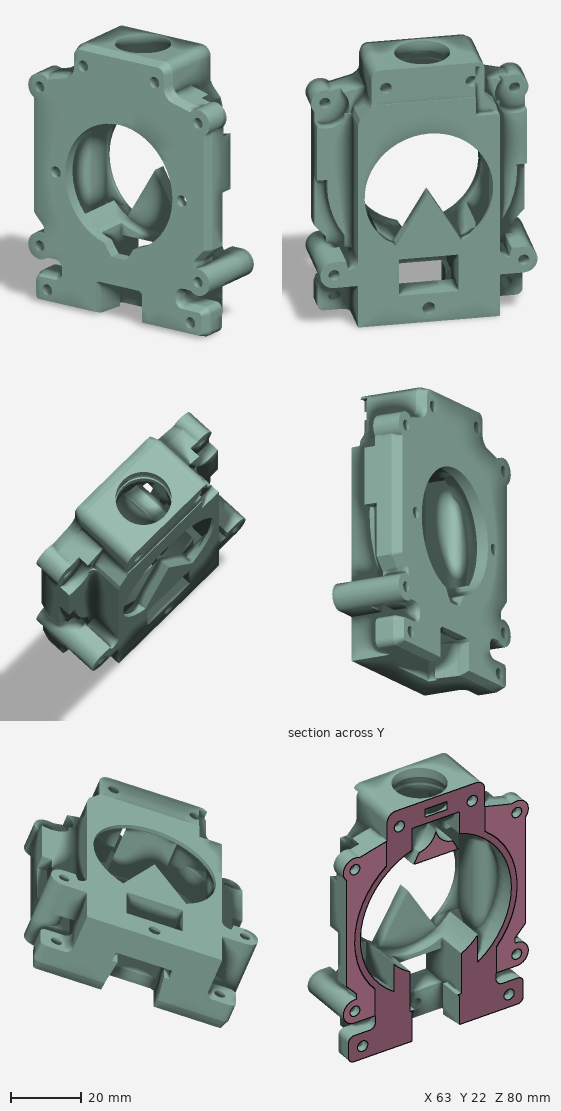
import cadquery as cq
import math

HEIGHT = 80.0
DEPTH = 22.0
PLATE_T = 3.6
SPLIT_Y = 12.0

NECK_HALF = 16.6
NECK_R = 3.0
SHOULDER_Z = 70.9
SHOULDER_END_Z = 68.2
SIDE_HALF = 30.5
SIDE_CORNER_R = 1.6
SIDE_LOW_Z = 26.4
WAIST_HALF = 27.0
WAIST_Z = 22.7
WAIST_R = 0.8
FOOT_HALF = 29.8
FOOT_H = 9.0
FOOT_R = 2.0
BASE_JOINT_Y = 10.7
FOOT_BACK_Y = 8.7
NOTCH_HALF = 20.7
NOTCH_TOP_Z = 13.0
NOTCH_R = 1.6
BEVEL_SETBACK = 1.0
BEVEL_DEPTH = 3.0

BOSS_X = 27.5
BOSS_R = 4.0
BOSS_HOLE_D = 3.2
UPPER_BOSS_Z = 65.0
LOWER_BOSS_Z = 17.0
UPPER_BOSS_L = 8.5
WEB_R = 2.8
WEB_TOP_X = 24.0
BOSS_POCKET_R = 6.4
PAD_STEP_Y = 7.9
PAD_STEP_Z = 42.4

HOLE_D = 3.4
NECK_HOLE_X = 12.4
NECK_HOLE_Z = 74.2
FOOT_HOLE_X = 24.9
FOOT_HOLE_Z = 4.3
SIDE_HOLE_X = 21.9

FAN_Z = 40.4
FAN_R = 18.6
FRONT_CAVITY_R = 25.6
DRAIN_BOTTOM_HALF = 2.5
DRAIN_BOTTOM_Z = 18.7
DRAIN_MIDDLE_HALF = 3.7
DRAIN_TOP_HALF = 5.2
DRAIN_TOP_Z = 22.8
RING_R = 27.5

SHELL_HALF = 20.6
SHELL_TOP_Z = 63.0
SHELL_SLOPE_HALF = 20.0
SHELL_SLOPE_Z = 65.1
SHELL_NECK_Z = 68.8
SHELL_WALL = 1.5
BACK_T = 1.2
FLANGE_T = 1.4
FLARE_R = 1.9
FLOOR_Y = 18.0
SECTOR_HALF_ANGLE = 31.0
FLOOR_HALF = 14.2
SIDE_FLOOR_Z = 17.6
DEEP_FLOOR_Z = 26.2
DEEP_FLOOR_DROP = 4.0
CHAMBER_TOP_Z = 62.4
NECK_BACK_STEP = 0.2
NECK_STEP_Z = 69.3
RECESS_X = 13.6
RECESS_Y = 19.4
RECESS_BOTTOM_Z = 63.4
RECESS_TOP_Z = 78.7

OUTLET_HALF = 8.6
OUTLET_BACK_Y = 13.7
WINDOW_BOTTOM_Z = 8.9
WINDOW_TOP_Z = 20.3
TAB_HOLE_D = 3.7
SLOT_HALF = 8.0
SLOT_BACK_HALF = 6.9
SLOT_TOP_Z = 10.4
SLOT_CHAMFER = 0.8

INLET_R = 8.0
INLET_GROOVE_R = 9.1
INLET_RIM_H = 3.0
INLET_GROOVE_BOTTOM = 5.6
INLET_BOTTOM_Z = 60.0
PASSAGE_TOP_Z = 72.0

SPLITTER_TOP_Z = 68.8
SPLITTER_LEDGE_Z = 63.2
SPLITTER_BOTTOM_Z = 59.6
SPLITTER_FLANK = 5.4
SPLITTER_LEDGE = 5.7
SPLITTER_HALF = 7.7
SPLITTER_BACK_Y = 20.0


def front_plane(y):
    """Sketch plane parallel to XZ at depth y."""
    return cq.Workplane("XZ", origin=(0, y, 0))


def box(x0, x1, y0, y1, z0, z1):
    return cq.Workplane("XY").box(x1 - x0, y1 - y0, z1 - z0, centered=False).translate((x0, y0, z0))


def disc(x, z, radius, y0, y1):
    return front_plane(y0).center(x, z).circle(radius).extrude(y0 - y1)


def prism(points, y0, y1):
    return front_plane(y0).polyline(points).close().extrude(y0 - y1)


def mirrored(right_half):
    """Close a right-half outline (listed bottom to top) with its mirror image."""
    return right_half + [(-corner[0], *corner[1:]) for corner in reversed(right_half)]


def rounded_prism(corners, y0, y1):
    """Extrude an outline of (x, z, radius) corners along Y."""
    pieces = []
    for i, (x, z, radius) in enumerate(corners):
        before = corners[i - 1]
        after = corners[(i + 1) % len(corners)]
        here = cq.Vector(x, z)
        to_before = (cq.Vector(before[0], before[1]) - here).normalized()
        to_after = (cq.Vector(after[0], after[1]) - here).normalized()
        half_angle = to_before.getAngle(to_after) / 2
        reach = radius / math.tan(half_angle)
        bisector = (to_before + to_after).normalized()
        middle = here + bisector * (radius / math.sin(half_angle) - radius)
        pieces.append((here + to_before * reach, middle, here + to_after * reach, radius))
    sketch = front_plane(y0).moveTo(pieces[0][2].x, pieces[0][2].y)
    for start, middle, end, radius in pieces[1:] + pieces[:1]:
        sketch = sketch.lineTo(start.x, start.y)
        if radius > 0:
            sketch = sketch.threePointArc((middle.x, middle.y), (end.x, end.y))
    return sketch.close().extrude(y0 - y1)


def concave_flare(x_wall, y_face, radius, z0, z1):
    """Concave quarter fillet on both sides, between walls at x = +-x_wall and a face at y_face."""
    mid = radius * (1 - math.sqrt(0.5))
    flare = (
        cq.Workplane("XY", origin=(0, 0, z0))
        .moveTo(x_wall, y_face)
        .lineTo(x_wall + radius, y_face)
        .threePointArc((x_wall + mid, y_face + mid), (x_wall, y_face + radius))
        .close()
        .extrude(z1 - z0)
    )
    return flare.union(flare.mirror("YZ"))


def inlet_bore():
    """Round inlet with a retaining groove under its rim."""
    axis = cq.Workplane("XY", origin=(0, SPLIT_Y, INLET_BOTTOM_Z))
    bore = axis.circle(INLET_R).extrude(HEIGHT - INLET_BOTTOM_Z)
    groove = (
        cq.Workplane("XY", origin=(0, SPLIT_Y, HEIGHT - INLET_GROOVE_BOTTOM))
        .circle(INLET_GROOVE_R)
        .extrude(INLET_GROOVE_BOTTOM - INLET_RIM_H)
    )
    return bore.union(groove)


def screw_holes():
    """Through holes of the neck, the feet and the bosses."""
    holes = cq.Workplane("XY")
    spots = [
        (NECK_HOLE_X, NECK_HOLE_Z, HOLE_D),
        (FOOT_HOLE_X, FOOT_HOLE_Z, HOLE_D),
        (BOSS_X, UPPER_BOSS_Z, BOSS_HOLE_D),
        (BOSS_X, LOWER_BOSS_Z, BOSS_HOLE_D),
    ]
    for x, z, diameter in spots:
        for side in (-1, 1):
            holes = holes.add(disc(side * x, z, diameter / 2, 0, DEPTH))
    return holes.combine()


def outlet_slot():
    """Slot in the bottom edge: straight through the plate, then narrowing to the rear."""
    right = [(SLOT_HALF, 0), (SLOT_HALF, PLATE_T), (SLOT_BACK_HALF, SPLIT_Y)]
    slot = cq.Workplane("XY").polyline(mirrored(right)).close().extrude(SLOT_TOP_Z)
    clipped = [
        (SLOT_HALF, 0),
        (SLOT_HALF, SLOT_TOP_Z - SLOT_CHAMFER),
        (SLOT_HALF - SLOT_CHAMFER, SLOT_TOP_Z),
    ]
    return slot.intersect(prism(mirrored(clipped), 0, SPLIT_Y))


def base_step():
    """Part of the back shell that reaches forward under the lower bosses."""
    return box(-SHELL_HALF, SHELL_HALF, BASE_JOINT_Y, SPLIT_Y, 0, NOTCH_TOP_Z)


def neck_passage():
    """Rectangular passage from the inlet down into the rotor chamber."""
    return box(-INLET_R, INLET_R, PLATE_T, SPLITTER_BACK_Y, SPLITTER_BOTTOM_Z, PASSAGE_TOP_Z)


def floor_block(y0, y1):
    """Block on both sides of the outlet with a round top concentric with the rotor."""
    block = box(-FLOOR_HALF, FLOOR_HALF, y0, y1, 0, FAN_Z)
    return block.cut(disc(0, FAN_Z, FAN_R, y0, y1))


def front_cavity():
    """Round cavity between the plate and the joint, interrupted by the floor block."""
    cavity = disc(0, FAN_Z, FRONT_CAVITY_R, PLATE_T, SPLIT_Y)
    return cavity.cut(floor_block(PLATE_T, SPLIT_Y))


def duct_envelope():
    """Solid neck, ring and foot block between the plate and the joint."""
    neck = rounded_prism(
        mirrored([(NECK_HALF, FAN_Z, 0), (NECK_HALF, HEIGHT, NECK_R)]), PLATE_T, SPLIT_Y
    )
    ring = disc(0, FAN_Z, RING_R, PLATE_T, SPLIT_Y)
    base = box(-SHELL_HALF, SHELL_HALF, PLATE_T, SPLIT_Y, 0, FAN_Z)
    feet = rounded_prism(
        mirrored(
            [
                (FOOT_HALF, 0, FOOT_R),
                (FOOT_HALF, FOOT_H, FOOT_R),
                (SHELL_HALF, FOOT_H, FOOT_R),
                (SHELL_HALF, NOTCH_TOP_Z, 0),
            ]
        ),
        PLATE_T,
        FOOT_BACK_Y,
    )
    flare = concave_flare(SHELL_HALF, FOOT_BACK_Y, FOOT_R, 0, FOOT_H)
    return neck.union(ring).union(base).union(feet).union(flare).cut(base_step())


def make_duct(envelope):
    outlet = box(-OUTLET_HALF, OUTLET_HALF, PLATE_T, SPLIT_Y, SLOT_TOP_Z, FAN_Z)
    duct = envelope.cut(front_cavity()).cut(outlet).cut(outlet_slot())
    return duct.cut(neck_passage()).cut(inlet_bore()).cut(screw_holes())


def bevelled_plate():
    outline = mirrored(
        [
            (FOOT_HALF, 0, FOOT_R),
            (FOOT_HALF, FOOT_H, FOOT_R),
            (NOTCH_HALF, FOOT_H, NOTCH_R),
            (NOTCH_HALF, NOTCH_TOP_Z, NOTCH_R),
            (WAIST_HALF, NOTCH_TOP_Z, 0),
            (WAIST_HALF, WAIST_Z, WAIST_R),
            (SIDE_HALF, SIDE_LOW_Z, SIDE_CORNER_R),
            (SIDE_HALF, UPPER_BOSS_Z, 0),
            (BOSS_X, SHOULDER_END_Z, 0),
            (NECK_HALF, SHOULDER_Z, NECK_R),
            (NECK_HALF, HEIGHT, NECK_R),
        ]
    )
    plate = rounded_prism(outline, 0, PLATE_T)
    return plate.faces("<Y").edges().chamfer(BEVEL_DEPTH, BEVEL_SETBACK)


def side_pads(envelope):
    """Blocks behind the plate on both sides of the duct."""
    pads = prism(
        mirrored(
            [
                (NECK_HALF, NOTCH_TOP_Z),
                (WAIST_HALF, NOTCH_TOP_Z),
                (WAIST_HALF, WAIST_Z),
                (SIDE_HALF, SIDE_LOW_Z),
                (SIDE_HALF, UPPER_BOSS_Z),
                (BOSS_X, SHOULDER_END_Z),
                (NECK_HALF, SHOULDER_Z),
            ]
        ),
        PLATE_T,
        SPLIT_Y,
    )
    pads = pads.cut(box(-SIDE_HALF, SIDE_HALF, PAD_STEP_Y, SPLIT_Y, 0, PAD_STEP_Z))
    for side in (-1, 1):
        pads = pads.cut(disc(side * BOSS_X, UPPER_BOSS_Z, BOSS_POCKET_R, UPPER_BOSS_L, SPLIT_Y))
    return pads.cut(envelope)


def splitter():
    """Ridge under the inlet whose two concave flanks divide the flow."""
    flank_mid = (SPLITTER_FLANK / 3, (SPLITTER_TOP_Z + 2 * SPLITTER_LEDGE_Z) / 3)
    return (
        front_plane(PLATE_T)
        .moveTo(-SPLITTER_HALF, SPLITTER_BOTTOM_Z)
        .lineTo(SPLITTER_HALF, SPLITTER_BOTTOM_Z)
        .lineTo(SPLITTER_LEDGE, SPLITTER_LEDGE_Z)
        .lineTo(SPLITTER_FLANK, SPLITTER_LEDGE_Z)
        .threePointArc(flank_mid, (0, SPLITTER_TOP_Z))
        .threePointArc((-flank_mid[0], flank_mid[1]), (-SPLITTER_FLANK, SPLITTER_LEDGE_Z))
        .lineTo(-SPLITTER_LEDGE, SPLITTER_LEDGE_Z)
        .close()
        .extrude(PLATE_T - SPLITTER_BACK_Y)
    )


def boss_web():
    """Web from the right lower boss to the back shell: flat top, then a concave fillet up the shell wall."""
    top = LOWER_BOSS_Z + BOSS_R
    bottom = LOWER_BOSS_Z - BOSS_R
    fillet_z = top - WEB_R
    mid = WEB_R * (1 - math.sqrt(0.5))
    return (
        front_plane(SPLIT_Y)
        .moveTo(BOSS_X, bottom)
        .lineTo(BOSS_X, top)
        .lineTo(WEB_TOP_X, top)
        .lineTo(SHELL_HALF + WEB_R, fillet_z)
        .threePointArc((SHELL_HALF + mid, fillet_z + mid), (SHELL_HALF, top))
        .lineTo(SHELL_HALF, bottom)
        .close()
        .extrude(SPLIT_Y - DEPTH)
    )


def make_frame(envelope):
    frame = bevelled_plate().union(side_pads(envelope))
    for side in (-1, 1):
        frame = frame.union(disc(side * BOSS_X, UPPER_BOSS_Z, BOSS_R, 0, UPPER_BOSS_L))
        frame = frame.union(disc(side * BOSS_X, LOWER_BOSS_Z, BOSS_R, 0, DEPTH))
    opening = disc(0, FAN_Z, FAN_R, 0, PLATE_T)
    drain = prism(
        mirrored(
            [
                (DRAIN_BOTTOM_HALF, DRAIN_BOTTOM_Z),
                (DRAIN_MIDDLE_HALF, WINDOW_TOP_Z),
                (DRAIN_TOP_HALF, DRAIN_TOP_Z),
            ]
        ),
        0,
        PLATE_T,
    )
    frame = frame.cut(opening).cut(drain).cut(outlet_slot()).cut(screw_holes())
    for side in (-1, 1):
        frame = frame.cut(disc(side * SIDE_HOLE_X, FAN_Z, HOLE_D / 2, 0, PLATE_T))
    web = boss_web().cut(screw_holes())
    frame = frame.union(web).union(web.mirror("YZ"))
    return frame.union(splitter())


def shell_envelope():
    outline = mirrored(
        [
            (SHELL_HALF, 0, 0),
            (SHELL_HALF, SHELL_TOP_Z, 0),
            (SHELL_SLOPE_HALF, SHELL_SLOPE_Z, 0),
            (NECK_HALF, SHELL_NECK_Z, NECK_R),
            (NECK_HALF, HEIGHT, NECK_R),
        ]
    )
    body = rounded_prism(outline, SPLIT_Y, DEPTH)
    flange = front_cavity().intersect(box(-SIDE_HALF, SIDE_HALF, SPLIT_Y - FLANGE_T, SPLIT_Y, 0, HEIGHT))
    flare = concave_flare(SHELL_HALF, SPLIT_Y, FLARE_R, LOWER_BOSS_Z + BOSS_R, SHELL_TOP_Z)
    return body.union(flange).union(flare).union(base_step())


def chamber():
    """Flat-sided rotor space over the floor block and a sloped rear floor, with a rounded mouth."""
    half = SHELL_HALF - SHELL_WALL
    front_y = SPLIT_Y - FLANGE_T
    back_y = DEPTH - BACK_T
    main = box(-half, half, front_y, FLOOR_Y, SIDE_FLOOR_Z, CHAMBER_TOP_Z)
    main = main.cut(floor_block(front_y, FLOOR_Y))
    low_z = DEEP_FLOOR_Z - DEEP_FLOOR_DROP
    deep_side = [
        (FLOOR_Y, low_z),
        (back_y, DEEP_FLOOR_Z),
        (back_y, CHAMBER_TOP_Z),
        (FLOOR_Y, CHAMBER_TOP_Z),
    ]
    deep = cq.Workplane("YZ", origin=(-half, 0, 0)).polyline(deep_side).close().extrude(2 * half)
    mouth_r = FLARE_R + FLANGE_T
    mid = mouth_r * (1 - math.sqrt(0.5))
    mouth = (
        cq.Workplane("XY", origin=(0, 0, SIDE_FLOOR_Z))
        .moveTo(half, front_y)
        .lineTo(half + mouth_r, front_y)
        .threePointArc((half + mid, front_y + mid), (half, front_y + mouth_r))
        .close()
        .extrude(CHAMBER_TOP_Z - SIDE_FLOOR_Z)
    )
    return main.union(deep).union(mouth).union(mouth.mirror("YZ"))


def sector():
    """Triangular web left standing in the rear opening."""
    drop = FAN_Z - WINDOW_TOP_Z
    reach = drop * math.tan(math.radians(SECTOR_HALF_ANGLE))
    return prism([(0, FAN_Z), (reach, WINDOW_TOP_Z), (-reach, WINDOW_TOP_Z)], FLOOR_Y, DEPTH)


def make_back_shell():
    rear_opening = disc(0, FAN_Z, FAN_R, FLOOR_Y, DEPTH)
    outlet = box(-OUTLET_HALF, OUTLET_HALF, 0, OUTLET_BACK_Y, 0, FAN_Z)
    window = box(-OUTLET_HALF, OUTLET_HALF, SPLIT_Y, DEPTH, WINDOW_BOTTOM_Z, WINDOW_TOP_Z)
    hollow = chamber().union(rear_opening).cut(sector())
    shell = shell_envelope().cut(hollow).cut(outlet).cut(window)
    shell = shell.cut(disc(0, FOOT_HOLE_Z, TAB_HOLE_D / 2, 0, DEPTH))
    shell = shell.cut(neck_passage()).cut(inlet_bore()).cut(screw_holes())
    side_recess = box(-SHELL_HALF, -RECESS_X, RECESS_Y, DEPTH, RECESS_BOTTOM_Z, RECESS_TOP_Z)
    neck_step = box(-SIDE_HALF, SIDE_HALF, DEPTH - NECK_BACK_STEP, DEPTH, NECK_STEP_Z, HEIGHT)
    return shell.cut(side_recess).cut(neck_step)


envelope = duct_envelope()
duct = make_duct(envelope)
frame = make_frame(envelope)
back_shell = make_back_shell()

result = cq.Compound.makeCompound([frame.solids().val(), duct.solids().val(), back_shell.solids().val()])